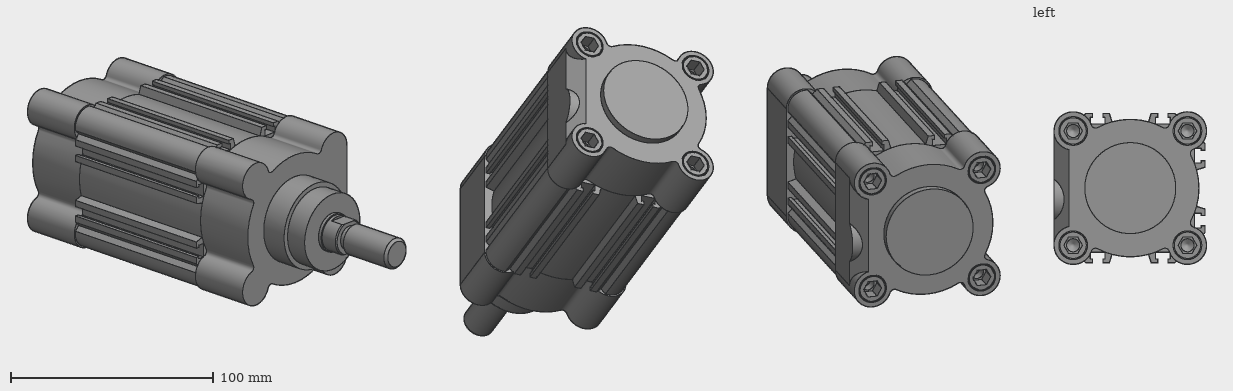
import cadquery as cq
import math


spigot_rear_x = 0.0
rear_cap_x = 4.0
barrel_x = 35.8
front_cap_x = 117.8
front_spigot_x = 149.8
front_collar_x = 163.6
rod_x = 175.2
rod_shank_x = 177.0
flats_x = 179.0
neck_x = 186.6
thread_x = 190.2
overall_length = 219.0

corner_spacing = 56.5
corner_offset = corner_spacing / 2
corner_radius = 9.5
cap_body_radius = 34.0
cap_fillet = 2.2
port_side_y = 37.78
spigot_radius = 22.5
collar_radius = 20.0

slope_start_y = 30.3
slope_angle = 43.0
port_radius = 12.0
port_x = 18.6
port_z = -5.6
port_root_y = 25.0

groove_outer_radius = 7.1
groove_inner_radius = 6.5
groove_depth = 1.5
hex_sides = 6
hex_across_flats = 8.0
hex_depth = 8.0
screw_hole_radius = 3.25
screw_hole_depth = 14.0
drill_point_angle = 118.0

barrel_half_width = 37.0
barrel_corner_radius = 9.0
barrel_core_radius = 34.0
rail_inner_edge = 10.3
rail_root_edge = 9.0
slot_centre = 16.1
slot_mouth_width = 5.0
slot_inner_width = 7.2
slot_floor = 31.8
lip_thickness = 2.0
vee_centre = 24.35
vee_half_width = 2.4
vee_depth = 2.4

rod_radius = 10.0
shank_radius = 9.3
flats_width = 16.2
shank_chamfer = 0.6
neck_radius = 6.2
thread_radius = 8.0
thread_chamfer = 1.4

signs = (-1, 1)
corners = [(y, z) for y in signs for z in signs]


def section(x):
    """Workplane across the cylinder axis at x, with local axes Y and Z."""
    return cq.Workplane("YZ", origin=(x, 0, 0))


def disc(x_start, x_end, radius):
    return section(x_start).circle(radius).extrude(x_end - x_start)


def corner_posts(x_start, x_end):
    spots = [(y * corner_offset, z * corner_offset) for y, z in corners]
    return section(x_start).pushPoints(spots).circle(corner_radius).extrude(x_end - x_start)


def fillet_web(x_start, x_end):
    """Filler that rounds the valley between the round body and the +Y +Z corner post, on its +Z side."""
    to_body = cap_body_radius + cap_fillet
    to_post = corner_radius + cap_fillet
    to_corner = math.hypot(corner_offset, corner_offset)
    along = (to_body**2 - to_post**2 + to_corner**2) / (2 * to_corner)
    corner_direction = math.radians(45)
    angle = corner_direction + math.acos(along / to_body)
    centre = cq.Vector(to_body * math.cos(angle), to_body * math.sin(angle))
    post = cq.Vector(corner_offset, corner_offset)
    on_body = centre * (cap_body_radius / to_body)
    on_post = post + (centre - post) * (corner_radius / to_post)
    lowest = centre + ((on_body + on_post) * 0.5 - centre).normalized() * cap_fillet
    return (
        section(x_start)
        .moveTo(on_body.x, on_body.y)
        .threePointArc((lowest.x, lowest.y), (on_post.x, on_post.y))
        .lineTo(corner_offset, corner_offset)
        .lineTo(0, 0)
        .close()
        .extrude(x_end - x_start)
    )


def cap_block(x_start, x_end):
    """Round body with a flat +Y side."""
    length = x_end - x_start
    flat_side = section(x_start).rect(port_side_y, corner_spacing).extrude(length)
    flat_side = flat_side.translate((0, port_side_y / 2, 0))
    return disc(x_start, x_end, cap_body_radius).union(flat_side)


def cap_corners(x_start, x_end):
    """Corner posts with fillets into the body on the three round sides."""
    posts = corner_posts(x_start, x_end)
    upper = fillet_web(x_start, x_end)
    beside = upper.mirror("XZ")
    side = beside.rotate((0, 0, 0), (1, 0, 0), 90)
    for web in (upper, beside, side):
        posts = posts.union(web).union(web.mirror("XY"))
    return posts


def lead_in_slope():
    """Wedge removed from the rear edge of the flat +Y side."""
    rise = port_side_y - slope_start_y
    run = rise / math.tan(math.radians(slope_angle))
    return (
        cq.Workplane("XY")
        .moveTo(rear_cap_x, slope_start_y)
        .lineTo(rear_cap_x, port_side_y)
        .lineTo(rear_cap_x + run, port_side_y)
        .close()
        .extrude(corner_offset, both=True)
    )


def port_boss():
    plane = cq.Workplane("XZ", origin=(port_x, port_side_y, port_z))
    return plane.circle(port_radius).extrude(port_side_y - port_root_y)


def screw_end_cut():
    """Ring groove, hexagon socket and drilled hole on the axis, entering the rear face."""
    ring = section(rear_cap_x).circle(groove_outer_radius).circle(groove_inner_radius)
    ring = ring.extrude(groove_depth)
    across_corners = hex_across_flats / math.cos(math.pi / hex_sides)
    socket = section(rear_cap_x).polygon(hex_sides, across_corners).extrude(hex_depth)
    hole_end_x = rear_cap_x + screw_hole_depth
    tip_length = screw_hole_radius / math.tan(math.radians(drill_point_angle / 2))
    hole = (
        cq.Workplane("XY")
        .moveTo(rear_cap_x, 0)
        .lineTo(rear_cap_x, screw_hole_radius)
        .lineTo(hole_end_x, screw_hole_radius)
        .lineTo(hole_end_x + tip_length, 0)
        .close()
        .revolve(360, (0, 0, 0), (1, 0, 0))
    )
    return socket.union(hole).union(ring)


def make_rear_cap():
    cap = cap_block(rear_cap_x, barrel_x).cut(lead_in_slope())
    cap = cap.union(port_boss())
    cap = cap.union(cap_corners(rear_cap_x, barrel_x))
    cap = cap.union(disc(spigot_rear_x, rear_cap_x, spigot_radius))
    for y, z in corners:
        cap = cap.cut(screw_end_cut().translate((0, y * corner_offset, z * corner_offset)))
    return cap


def make_front_cap():
    cap = cap_block(front_cap_x, front_spigot_x).union(cap_corners(front_cap_x, front_spigot_x))
    cap = cap.union(disc(front_spigot_x, front_collar_x, spigot_radius))
    return cap.union(disc(front_collar_x, rod_x, collar_radius))


def side_recess(length):
    """Shallow recess between the two rails of the +Z side, which widen towards the round core."""
    root_height = math.sqrt(barrel_core_radius**2 - rail_root_edge**2)
    return (
        section(barrel_x)
        .moveTo(-rail_inner_edge, barrel_half_width)
        .lineTo(-rail_root_edge, root_height)
        .threePointArc((0, barrel_core_radius), (rail_root_edge, root_height))
        .lineTo(rail_inner_edge, barrel_half_width)
        .close()
        .extrude(length)
    )


def sensor_slot(length):
    """T-slot of the +Z side at positive Y."""
    mouth_depth = barrel_half_width - slot_floor
    mouth = section(barrel_x).rect(slot_mouth_width, mouth_depth).extrude(length)
    mouth = mouth.translate((0, slot_centre, slot_floor + mouth_depth / 2))
    inner_depth = mouth_depth - lip_thickness
    inner = section(barrel_x).rect(slot_inner_width, inner_depth).extrude(length)
    return mouth.union(inner.translate((0, slot_centre, slot_floor + inner_depth / 2)))


def vee_groove(length):
    """V-groove between the slot rail and the rounded corner of the +Z side at positive Y."""
    return (
        section(barrel_x)
        .moveTo(vee_centre - vee_half_width, barrel_half_width)
        .lineTo(vee_centre, barrel_half_width - vee_depth)
        .lineTo(vee_centre + vee_half_width, barrel_half_width)
        .close()
        .extrude(length)
    )


def make_barrel():
    length = front_cap_x - barrel_x
    width = 2 * barrel_half_width
    barrel = section(barrel_x).rect(width, width).extrude(length)
    barrel = barrel.edges("|X").fillet(barrel_corner_radius)
    half_cuts = sensor_slot(length).union(vee_groove(length))
    side_cuts = half_cuts.union(half_cuts.mirror("XZ")).union(side_recess(length))
    for quarter_turn in range(4):
        barrel = barrel.cut(side_cuts.rotate((0, 0, 0), (1, 0, 0), 90 * quarter_turn))
    return barrel


def make_rod():
    shank = disc(rod_shank_x, neck_x, shank_radius).faces(">X").chamfer(shank_chamfer)
    flats_length = neck_x - flats_x
    between_flats = section(flats_x).rect(2 * rod_radius, flats_width).extrude(flats_length)
    beyond_flats = disc(flats_x, neck_x, rod_radius).cut(between_flats)
    thread = disc(thread_x, overall_length, thread_radius).faces(">X").chamfer(thread_chamfer)
    rod = disc(rod_x, rod_shank_x, rod_radius).union(shank.cut(beyond_flats))
    return rod.union(disc(neck_x, thread_x, neck_radius)).union(thread)


rear_cap = make_rear_cap()
barrel = make_barrel()
front_cap = make_front_cap()
rod = make_rod()

result = cq.Compound.makeCompound([rear_cap.val(), barrel.val(), front_cap.val(), rod.val()])